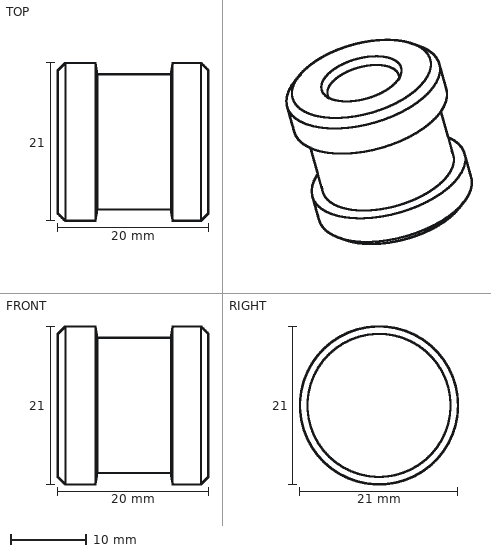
import cadquery as cq

outer_diameter = 21.0
length = 20.0
rim_chamfer = 1.0

groove_diameter = 18.0
flange_width = 5.0
wall_slope_run = 0.25
groove_start = flange_width + wall_slope_run
groove_end = length - flange_width

bore_diameter = 9.8
bore_mouth_diameter = 10.96
bore_chamfer_depth = 1.0
end_wall_thickness = 4.0
bore_depth = length - end_wall_thickness

outer_radius = outer_diameter / 2
groove_radius = groove_diameter / 2
bore_radius = bore_diameter / 2
mouth_radius = bore_mouth_diameter / 2

half_section = (
    cq.Workplane("XY")
    .moveTo(0, mouth_radius)
    .lineTo(0, outer_radius - rim_chamfer)
    .lineTo(rim_chamfer, outer_radius)
    .lineTo(flange_width, outer_radius)
    .lineTo(groove_start, groove_radius)
    .lineTo(groove_end, groove_radius)
    .lineTo(groove_end + wall_slope_run, outer_radius)
    .lineTo(length - rim_chamfer, outer_radius)
    .lineTo(length, outer_radius - rim_chamfer)
    .lineTo(length, 0)
    .lineTo(bore_depth, 0)
    .lineTo(bore_depth, bore_radius)
    .lineTo(bore_chamfer_depth, bore_radius)
    .close()
)

result = half_section.revolve(360, (0, 0, 0), (1, 0, 0))